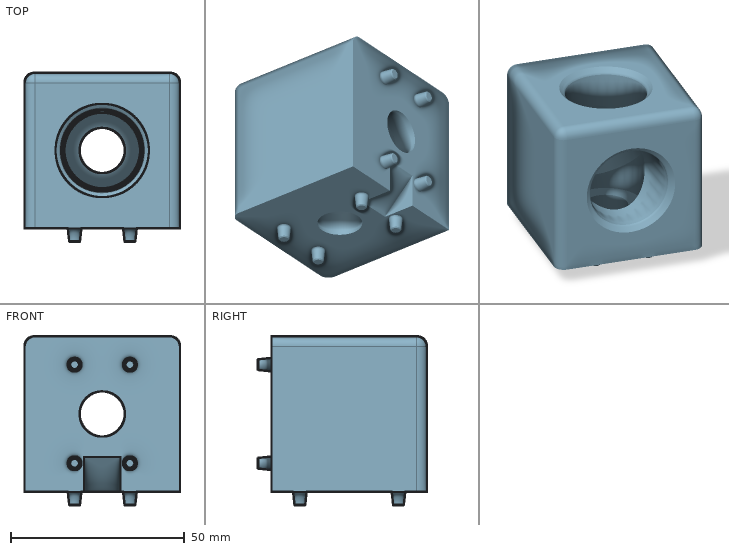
import cadquery as cq

SIDE = 45.0
HALF = SIDE / 2
EDGE_RADIUS = 3.0

MOUTH_RADIUS = 13.5
MOUTH_CHAMFER = 1.25
THROAT_RADIUS = 11.9
THROAT_DEPTH = 1.8
FLOOR_RADIUS = 10.9
FLOOR_THICKNESS = 7.0
PASSAGE_RADIUS = 6.5

PIN_HEIGHT = 4.0
PIN_BASE_RADIUS = 2.0
PIN_TIP_RADIUS = 1.6
PIN_TIP_CHAMFER = 0.3
PIN_SPACING_X = 16.0
PIN_SPACING_Y = 28.5

NOTCH_WIDTH = 10.6
NOTCH_LEG = 10.1


def swap_y_and_z(shape):
    """Mirror a shape in the diagonal plane Y = Z."""
    return shape.mirror("XY").rotate((0, 0, 0), (1, 0, 0), 90)


def make_body():
    """Cube with the free edges of its top and back rounded."""
    body = cq.Workplane("XY").box(SIDE, SIDE, SIDE)
    return body.edges("|Y and >Z or |Z and >Y or (>Y and >Z)").fillet(EDGE_RADIUS)


def make_socket():
    """Tapered socket with a chamfered, rounded mouth at +Z and a passage out through -Z."""
    floor = -HALF + FLOOR_THICKNESS
    return (
        cq.Workplane("XZ")
        .moveTo(0, HALF)
        .lineTo(MOUTH_RADIUS, HALF)
        .lineTo(MOUTH_RADIUS - MOUTH_CHAMFER, HALF - MOUTH_CHAMFER)
        .tangentArcPoint((THROAT_RADIUS, HALF - THROAT_DEPTH), relative=False)
        .lineTo(FLOOR_RADIUS, floor)
        .lineTo(PASSAGE_RADIUS, floor)
        .lineTo(PASSAGE_RADIUS, -HALF)
        .lineTo(0, -HALF)
        .close()
        .revolve(360, (0, 0), (0, 1))
    )


def make_pins():
    """Four pins hanging from the -Z face."""
    profile = [
        (0, 0),
        (PIN_BASE_RADIUS, 0),
        (PIN_TIP_RADIUS, -PIN_HEIGHT + PIN_TIP_CHAMFER),
        (PIN_TIP_RADIUS - PIN_TIP_CHAMFER, -PIN_HEIGHT),
        (0, -PIN_HEIGHT),
    ]
    pin = cq.Workplane("XZ").polyline(profile).close().revolve(360, (0, 0), (0, 1))
    pins = cq.Workplane("XY")
    for x in (-PIN_SPACING_X / 2, PIN_SPACING_X / 2):
        for y in (-PIN_SPACING_Y / 2, PIN_SPACING_Y / 2):
            pins = pins.add(pin.translate((x, y, -HALF)))
    return pins.combine()


def make_notch():
    """Triangular prism that bevels the middle of the edge between -Y and -Z."""
    corner = [(-HALF, -HALF), (-HALF + NOTCH_LEG, -HALF), (-HALF, -HALF + NOTCH_LEG)]
    return cq.Workplane("YZ").polyline(corner).close().extrude(NOTCH_WIDTH / 2, both=True)


socket = make_socket()
pins = make_pins()
result = make_body().cut(socket).cut(swap_y_and_z(socket)).cut(make_notch())
result = result.union(pins).union(swap_y_and_z(pins))